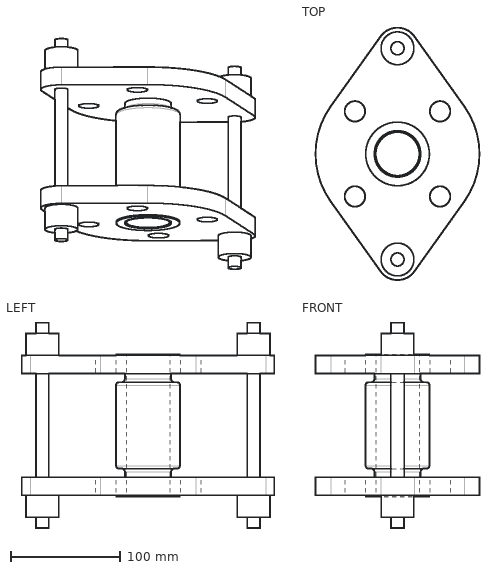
import cadquery as cq
import math

rod_length = 188.0
nut_top = 84.0
plate_top = 64.0
plate_thickness = 16.6
collar_top = 65.0
collar_radius = 29.0

plate_length = 230.9
plate_width = 150.0
rod_pitch = 193.0
bolt_spacing = 77.8
bolt_hole_diameter = 18.5

rod_diameter = 12.0
nut_diameter = 30.0

body_radius = 29.3
neck_radius = 21.2
bore_radius = 19.9
body_half_height = 39.5
body_edge_radius = 2.8
neck_fillet_radius = 3.0
pipe_recess = 0.7

plate_bottom = plate_top - plate_thickness
rod_points = [(0, -rod_pitch / 2), (0, rod_pitch / 2)]


def diamond_plate():
    """Upper plate: two round sizes joined by straight tangent sides."""
    middle_radius = plate_width / 2
    end_offset = rod_pitch / 2
    end_radius = plate_length / 2 - end_offset
    tangent_angle = math.asin((middle_radius - end_radius) / end_offset)
    middle_x = middle_radius * math.cos(tangent_angle)
    middle_y = middle_radius * math.sin(tangent_angle)
    end_x = end_radius * math.cos(tangent_angle)
    end_y = end_offset + end_radius * math.sin(tangent_angle)
    return (
        cq.Workplane("XY", origin=(0, 0, plate_bottom))
        .moveTo(middle_x, -middle_y)
        .threePointArc((middle_radius, 0), (middle_x, middle_y))
        .lineTo(end_x, end_y)
        .threePointArc((0, plate_length / 2), (-end_x, end_y))
        .lineTo(-middle_x, middle_y)
        .threePointArc((-middle_radius, 0), (-middle_x, -middle_y))
        .lineTo(-end_x, -end_y)
        .threePointArc((0, -plate_length / 2), (end_x, -end_y))
        .close()
        .extrude(plate_thickness)
    )


def upper_flange():
    """Plate with its four bolt holes, raised collar face and two nuts."""
    bolt_holes = (
        cq.Workplane("XY", origin=(0, 0, plate_bottom))
        .rect(bolt_spacing, bolt_spacing, forConstruction=True)
        .vertices()
        .circle(bolt_hole_diameter / 2)
        .extrude(plate_thickness)
    )
    collar = (
        cq.Workplane("XY", origin=(0, 0, plate_bottom))
        .circle(collar_radius)
        .extrude(collar_top - plate_bottom)
    )
    nuts = (
        cq.Workplane("XY", origin=(0, 0, plate_top))
        .pushPoints(rod_points)
        .circle(nut_diameter / 2)
        .extrude(nut_top - plate_top)
    )
    return diamond_plate().cut(bolt_holes).union(collar).union(nuts)


def rods():
    return (
        cq.Workplane("XY", origin=(0, 0, -rod_length / 2))
        .pushPoints(rod_points)
        .circle(rod_diameter / 2)
        .extrude(rod_length)
    )


def pipe_body():
    """Thick middle with rounded rims, blended into the thinner pipe necks."""
    rim_bottom = body_half_height - body_edge_radius
    root_top = body_half_height + neck_fillet_radius
    upper_half = (
        cq.Workplane("XZ")
        .lineTo(body_radius, 0)
        .lineTo(body_radius, rim_bottom)
        .tangentArcPoint((body_radius - body_edge_radius, body_half_height), relative=False)
        .lineTo(neck_radius + neck_fillet_radius, body_half_height)
        .tangentArcPoint((neck_radius, root_top), relative=False)
        .lineTo(neck_radius, plate_bottom)
        .lineTo(0, plate_bottom)
        .close()
        .revolve(360, (0, 0), (0, 1))
    )
    return upper_half.union(upper_half.mirror("XY")).clean()


def bore():
    """Through bore, opened out to the pipe's outer radius at both ends."""
    cutter = (
        cq.Workplane("XY", origin=(0, 0, -collar_top))
        .circle(bore_radius)
        .extrude(2 * collar_top)
    )
    for side in (-1, 1):
        recess = (
            cq.Workplane("XY", origin=(0, 0, side * collar_top))
            .circle(neck_radius)
            .extrude(-side * pipe_recess)
        )
        cutter = cutter.union(recess)
    return cutter


flange = upper_flange()
result = (
    pipe_body()
    .union(flange)
    .union(flange.mirror("XY"))
    .union(rods())
    .cut(bore())
)